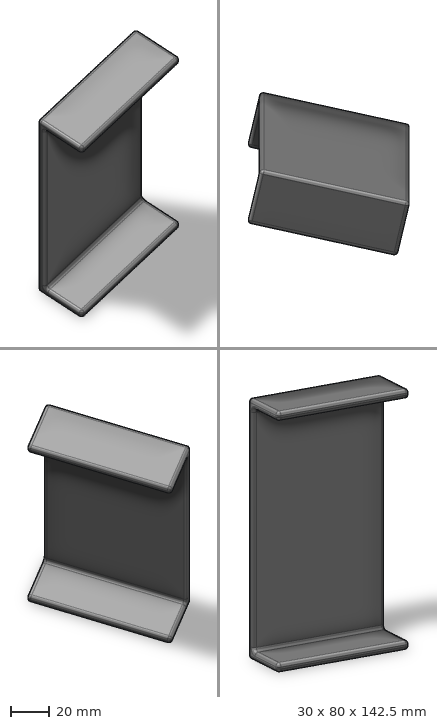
import cadquery as cq

depth = 30.0
width = 80.0
height = 142.5

wall = 5.0
edge_radius = 2.0

channel_depth = depth - wall
channel_height = height - 2 * wall

outer_block = cq.Workplane("XY").box(depth, width, height)
channel = (
    cq.Workplane("XY")
    .box(channel_depth, width, channel_height)
    .translate((wall / 2, 0, 0))
)
bracket = outer_block.cut(channel)

result = bracket.edges().fillet(edge_radius)